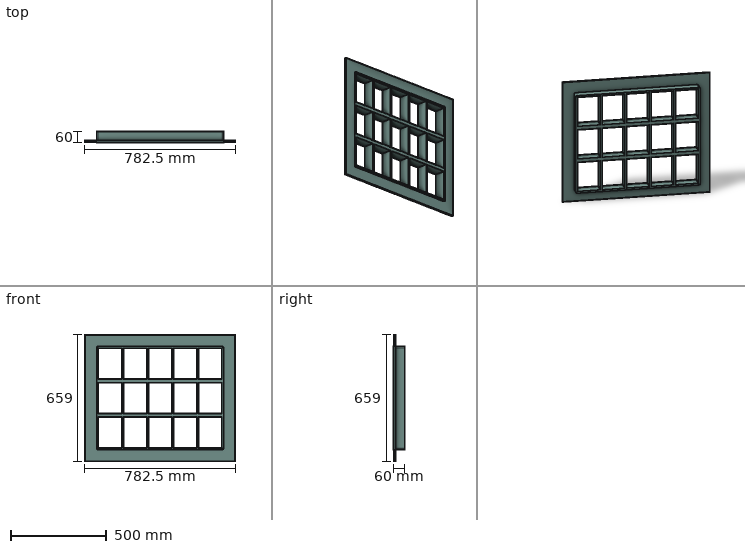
import cadquery as cq

flange_width = 782.5
flange_height = 659.0
flange_thickness = 10.0

flange_border = 60.0
body_width = flange_width - 2 * flange_border
body_height = flange_height - 2 * flange_border
body_depth = 60.0
body_corner_radius = 10.0
front_step = 2.0

columns = 5
rows = 3
wall = 10.0
crossbar = 20.0
opening_width = (body_width - (columns + 1) * wall) / columns
opening_height = (body_height - 2 * wall - (rows - 1) * crossbar) / rows


def block(width, height, depth, front):
    """Block centred on the Y axis, reaching from y = front back by depth."""
    return cq.Workplane("XY").box(width, depth, height).translate((0, front + depth / 2, 0))


def make_body():
    body = block(body_width, body_height, body_depth, 0)
    return body.edges("|Y").fillet(body_corner_radius)


def make_openings():
    return (
        cq.Workplane("XZ")
        .rarray(opening_width + wall, opening_height + crossbar, columns, rows)
        .rect(opening_width, opening_height)
        .extrude(-body_depth)
    )


flange = block(flange_width, flange_height, flange_thickness, front_step)
result = flange.union(make_body()).cut(make_openings())